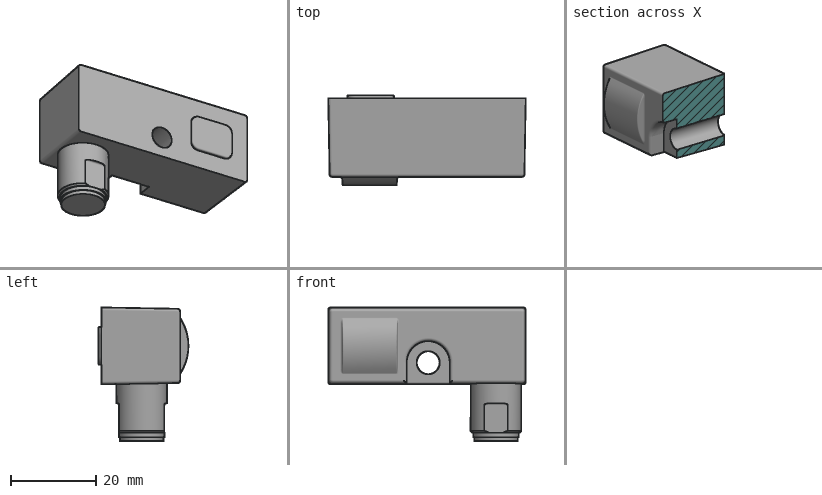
import cadquery as cq
import math


length = 46.5
height = 18.15
depth = 18.55
back_band = 0.45
draft = 1.0
edge_radius = 0.7
mid_z = height / 2
front_y = -depth

pocket_x = 0.3
pocket_axis_z = 5.1
pocket_floor_radius = 5.05
pocket_depth = 4.2
pocket_lip_radius = 0.3
pocket_floor_y = front_y + pocket_depth
screw_hole_diameter = 5.35

button_x = -13.5
button_chord = 13.0
button_rise = 1.95
button_length = 13.0
button_draft = 4.0
button_root = 0.45
button_edge_radius = 0.25
button_flare_radius = 0.45

pad_x = -13.25
pad_length = 11.0
pad_height = 8.95
pad_thickness = 0.7
pad_corner_radius = 1.85
pad_edge_radius = 0.33

connector_x = 16.25
connector_y = -9.5
connector_length = 13.35
connector_radius = 6.0
connector_root = mid_z
chamfer_start = 10.9
chamfer_end = 11.35
chamfer_width = 0.4
collar_radius = 5.4
collar_end = 12.35
tip_radius = 5.15
flat_start = 4.45
flat_distance = 5.35
flat_root_radius = 0.35


def front_plane(x, y, z):
    """Workplane parallel to the front face that extrudes toward -Y."""
    return cq.Workplane("XZ", origin=(x, y, z))


def arch_pocket():
    """Arch-shaped cutter that starts at the pocket floor and widens toward the front."""
    leg_length = 2 * pocket_axis_z
    return (
        front_plane(pocket_x, pocket_floor_y, pocket_axis_z)
        .moveTo(pocket_floor_radius, -leg_length)
        .lineTo(pocket_floor_radius, 0)
        .threePointArc((0, pocket_floor_radius), (-pocket_floor_radius, 0))
        .lineTo(-pocket_floor_radius, -leg_length)
        .close()
        .extrude(pocket_depth, taper=-draft)
    )


def housing():
    """Drafted body with its back band, pocket and screw hole."""
    body = front_plane(0, -back_band, mid_z).rect(length, height).extrude(depth - back_band, taper=draft)
    body = body.edges("not(#Y)").fillet(edge_radius)
    body = body.faces(">Y").wires().toPending().workplane().extrude(back_band)

    body = body.cut(arch_pocket())
    body = body.faces("<Y").edges().fillet(edge_radius)
    pocket_lip = cq.selectors.NearestToPointSelector((pocket_x, pocket_floor_y, 0))
    body = body.edges(pocket_lip).fillet(pocket_lip_radius)

    screw_hole = front_plane(pocket_x, 0, pocket_axis_z).circle(screw_hole_diameter / 2).extrude(depth)
    return body.cut(screw_hole)


def button():
    """Slice of a cylinder along X with drafted ends and rounded end edges."""
    dome_radius = ((button_chord / 2) ** 2 + button_rise**2) / (2 * button_rise)
    axis_y = front_y - button_rise + dome_radius
    dome = (
        cq.Workplane("YZ", origin=(button_x, axis_y, mid_z))
        .circle(dome_radius)
        .extrude(button_length, both=True)
    )

    narrowing = math.tan(math.radians(button_draft))
    half_root = button_length / 2 + button_root * narrowing
    half_top = button_length / 2 - button_rise * narrowing
    root_y = front_y + button_root
    top_y = front_y - button_rise
    envelope = (
        cq.Workplane("XY")
        .polyline([(-half_root, root_y), (half_root, root_y), (half_top, top_y), (-half_top, top_y)])
        .close()
        .extrude(height)
        .translate((button_x, 0, 0))
    )
    return dome.intersect(envelope).edges("%ELLIPSE").fillet(button_edge_radius)


def add_button(body):
    """Join the button to the front face with a small fillet all round its foot."""
    margin = 0.25
    half_length = button_length / 2 + margin
    half_height = button_chord / 2 + margin
    foot = cq.selectors.BoxSelector(
        (button_x - half_length, front_y - margin / 2, mid_z - half_height),
        (button_x + half_length, front_y + margin / 2, mid_z + half_height),
    )
    return body.union(button()).edges(foot).fillet(button_flare_radius)


def pad():
    """Rounded plate standing on the back face."""
    plate = front_plane(pad_x, 0, mid_z).rect(pad_length, pad_height).extrude(-pad_thickness)
    plate = plate.edges("|Y").fillet(pad_corner_radius)
    return plate.faces(">Y").edges().fillet(pad_edge_radius)


def wrench_flat_cutter():
    """Block that cuts the flat on the +Y side of a connector centred on the Z axis."""
    flat_height = chamfer_end - flat_start
    block = (
        cq.Workplane("XY", origin=(0, flat_distance, -chamfer_end))
        .box(2 * connector_radius, connector_radius, flat_height, centered=(True, False, False))
    )
    return block.faces("<Y").edges(">Z").fillet(flat_root_radius)


def connector():
    """Stepped round plug with two opposite wrench flats."""
    profile = [
        (0, connector_root),
        (connector_radius, connector_root),
        (connector_radius, -chamfer_start),
        (connector_radius - chamfer_width, -chamfer_end),
        (collar_radius, -chamfer_end),
        (collar_radius, -collar_end),
        (tip_radius, -collar_end),
        (tip_radius, -connector_length),
        (0, -connector_length),
    ]
    plug = cq.Workplane("XZ").polyline(profile).close().revolve(360, (0, 0, 0), (0, 1, 0))
    for angle in (0, 180):
        plug = plug.cut(wrench_flat_cutter().rotate((0, 0, 0), (0, 0, 1), angle))
    return plug.translate((connector_x, connector_y, 0))


result = add_button(housing()).union(pad()).union(connector())